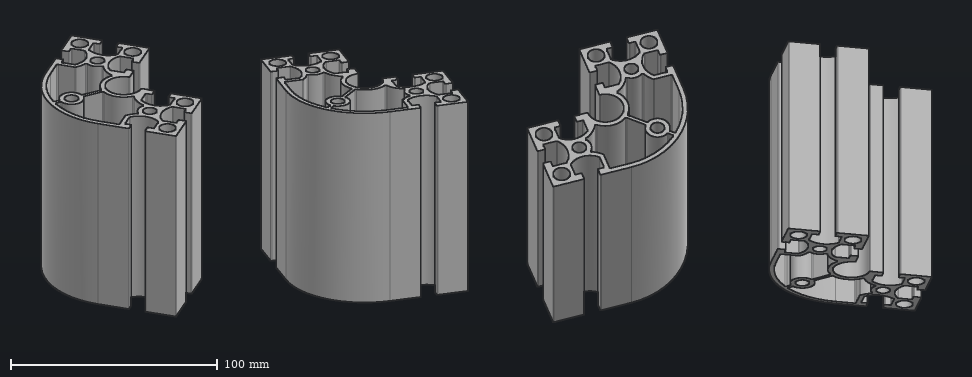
import cadquery as cq
import math

LENGTH = 100.0
MODULE = 40.0
WALL = 2.5
SLOT_WALL = 2.4
HALF_MODULE = MODULE / 2

SLOT_OPENING = 8.2
LIP_THICKNESS = 4.0
SLOT_HALF_WIDTH = 7.4
SLOT_FLOOR_OFFSET = 6.0
SLOT_FLOOR_RADIUS = 10.5
FLOOR_ARC_CENTRE = SLOT_FLOOR_OFFSET + SLOT_FLOOR_RADIUS

CORE_BORE_DIAMETER = 6.8
CORE_TUBE_RADIUS = 6.0
CORNER_BORE_DIAMETER = 8.2
CORNER_BORE_OFFSET = 13.5

NOTCH_RADIUS = 9.0
WEB_THICKNESS = 1.8
WEB_ANGLE = 225

CAVITY_FILLET = 0.6
EDGE_FILLET = 0.4

BEND_CENTRE = (MODULE, MODULE)
BOSS_CENTRE = (HALF_MODULE, HALF_MODULE)
UPPER_MODULE = (HALF_MODULE, MODULE + HALF_MODULE)
RIGHT_MODULE = (MODULE + HALF_MODULE, HALF_MODULE)

MODULES = (
    (UPPER_MODULE, (90, 180), 0),
    (RIGHT_MODULE, (0, 270), 90),
)


def rounded_l(near, far):
    """L-shaped prism from near to far whose outer corner is an arc about the bend centre."""
    bend = MODULE
    arc_mid = bend - (bend - near) * math.sqrt(0.5)
    return (
        cq.Workplane("XY")
        .moveTo(bend, near)
        .lineTo(far, near)
        .lineTo(far, bend)
        .lineTo(bend, bend)
        .lineTo(bend, far)
        .lineTo(near, far)
        .lineTo(near, bend)
        .threePointArc((arc_mid, arc_mid), (bend, near))
        .close()
        .extrude(LENGTH)
    )


def cylinder(centre, radius):
    return cq.Workplane("XY").center(*centre).circle(radius).extrude(LENGTH)


def place(shape, centre, angle):
    """Turn a shape drawn along +X at the origin and move it to the given centre."""
    return shape.rotate((0, 0, 0), (0, 0, 1), angle).translate((*centre, 0))


def arc_floored_pocket(mouth, growth):
    """Slot chamber running from a bulging arc floor out to the mouth distance along +X."""
    half_width = SLOT_HALF_WIDTH + growth
    radius = SLOT_FLOOR_RADIUS + growth
    floor_edge = FLOOR_ARC_CENTRE - math.sqrt(radius**2 - half_width**2)
    return (
        cq.Workplane("XY")
        .moveTo(mouth, -half_width)
        .lineTo(floor_edge, -half_width)
        .threePointArc((FLOOR_ARC_CENTRE - radius, 0), (floor_edge, half_width))
        .lineTo(mouth, half_width)
        .close()
        .extrude(LENGTH)
    )


def t_slot():
    chamber_mouth = HALF_MODULE - LIP_THICKNESS
    opening = (
        cq.Workplane("XY")
        .center(HALF_MODULE - LIP_THICKNESS / 2, 0)
        .rect(LIP_THICKNESS, SLOT_OPENING)
        .extrude(LENGTH)
    )
    return arc_floored_pocket(chamber_mouth, 0).union(opening)


def diagonal_web():
    """Web through the boss, from the bend centre out to the curved wall."""
    reach = MODULE - WALL / 2
    web = (
        cq.Workplane("XY")
        .center(reach / 2, 0)
        .rect(reach, WEB_THICKNESS)
        .extrude(LENGTH)
    )
    return place(web, BEND_CENTRE, WEB_ANGLE)


def corner_cavities():
    """The two hollow chambers left between the skin, slot walls, tubes and web."""
    cavity = rounded_l(WALL, MODULE + HALF_MODULE)
    slot_walls = arc_floored_pocket(HALF_MODULE, SLOT_WALL)
    notch_slot_wall = cylinder((FLOOR_ARC_CENTRE, 0), SLOT_FLOOR_RADIUS + SLOT_WALL)
    for centre, skin_slots, notch_slot in MODULES:
        for angle in skin_slots:
            cavity = cavity.cut(place(slot_walls, centre, angle))
        cavity = cavity.cut(place(notch_slot_wall, centre, notch_slot))
        cavity = cavity.cut(cylinder(centre, CORE_TUBE_RADIUS))
    cavity = cavity.cut(cylinder(BOSS_CENTRE, CORE_TUBE_RADIUS))
    cavity = cavity.cut(cylinder(BEND_CENTRE, NOTCH_RADIUS + WALL))
    return cavity.cut(diagonal_web()).edges("|Z").fillet(CAVITY_FILLET)


def slotted_outline():
    """Solid section with the notch and T-slots cut and its edges rounded."""
    body = rounded_l(0, 2 * MODULE).cut(cylinder(BEND_CENTRE, NOTCH_RADIUS))
    slot = t_slot()
    for centre, skin_slots, notch_slot in MODULES:
        for angle in (*skin_slots, notch_slot):
            body = body.cut(place(slot, centre, angle))
    return body.edges("|Z").fillet(EDGE_FILLET)


def cut_core_bores(body):
    """Bore the two module cores and the boss in the web."""
    for centre in (UPPER_MODULE, RIGHT_MODULE, BOSS_CENTRE):
        body = body.cut(cylinder(centre, CORE_BORE_DIAMETER / 2))
    return body


def cut_corner_bores(body):
    """Bore the two corner blocks at the free end of each module."""
    for side in (-CORNER_BORE_OFFSET, CORNER_BORE_OFFSET):
        upper_bore = (UPPER_MODULE[0] + side, UPPER_MODULE[1] + CORNER_BORE_OFFSET)
        right_bore = (RIGHT_MODULE[0] + CORNER_BORE_OFFSET, RIGHT_MODULE[1] + side)
        for centre in (upper_bore, right_bore):
            body = body.cut(cylinder(centre, CORNER_BORE_DIAMETER / 2))
    return body


profile = slotted_outline().cut(corner_cavities())
profile = cut_core_bores(profile)
result = cut_corner_bores(profile)